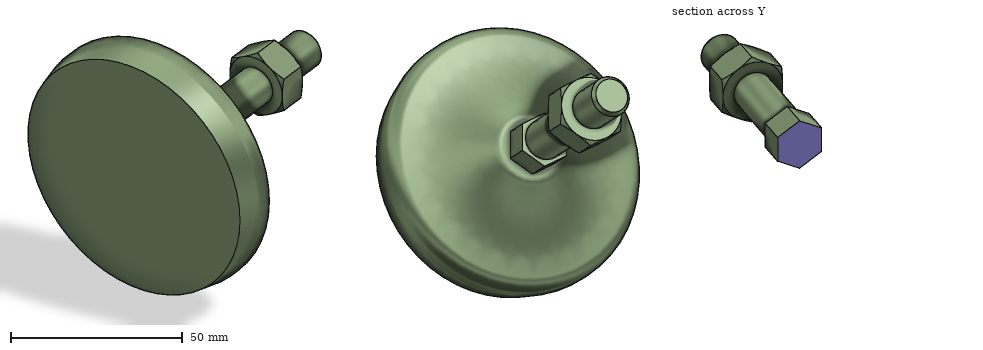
import cadquery as cq
import math


base_diameter = 80.0
base_height = 25.0
sole_taper_height = 7.5
sole_taper_angle = 12.0
rim_top = 11.0
corner_radius = 4.0
shoulder_flat_radius = 9.0
flare_radius = 54.0

total_height = 85.0
stud_diameter = 12.0
stud_chamfer = 1.0
neck_diameter = 10.0
neck_length = 1.0

stud_hex_flats = 14.0
stud_hex_height = 9.0
nut_flats = 19.0
nut_height = 10.0
nut_bottom = 60.0
nut_chamfer_angle = 30.0
hex_half_angle = 30.0

stud_hex_bottom = base_height + neck_length
stud_hex_top = stud_hex_bottom + stud_hex_height


def point_on_circle(center, radius, angle):
    """Point at an angle measured from +Y towards +X (radians)."""
    return (center[0] + radius * math.sin(angle), center[1] + radius * math.cos(angle))


def cylinder(diameter, bottom, height):
    """Cylinder on the Y axis, starting at Y = bottom."""
    return cq.Workplane("XZ", origin=(0, bottom, 0)).circle(diameter / 2).extrude(-height)


def hex_corner_radius(flats):
    return flats / 2 / math.cos(math.radians(hex_half_angle))


def hexagon(flats, bottom, height):
    """Hexagonal prism on the Y axis with flats facing +X and -X."""
    plane = cq.Workplane("XZ", origin=(0, bottom, 0)).transformed(rotate=(0, 0, hex_half_angle))
    return plane.polygon(6, 2 * hex_corner_radius(flats)).extrude(-height)


def revolve_about_y(profile):
    return profile.close().revolve(360, (0, 0, 0), (0, 1, 0))


def make_base():
    """Revolved base; the concave flank is tangent to both rounded corners."""
    rim_radius = base_diameter / 2
    sole_radius = rim_radius - sole_taper_height * math.tan(math.radians(sole_taper_angle))
    rim_center = (rim_radius - corner_radius, rim_top)
    shoulder_center = (shoulder_flat_radius, base_height - corner_radius)

    run = rim_center[0] - shoulder_center[0]
    rise = shoulder_center[1] - rim_center[1]
    chord_slope = math.atan2(rise, run)
    half_sweep = math.asin(math.hypot(run, rise) / 2 / (flare_radius + corner_radius))
    rim_slope = chord_slope - half_sweep
    shoulder_slope = chord_slope + half_sweep
    flare_center = point_on_circle(rim_center, flare_radius + corner_radius, rim_slope)

    rim_start = (rim_radius, rim_top)
    rim_middle = point_on_circle(rim_center, corner_radius, (math.pi / 2 + rim_slope) / 2)
    rim_end = point_on_circle(rim_center, corner_radius, rim_slope)
    flare_middle = point_on_circle(flare_center, flare_radius, chord_slope + math.pi)
    shoulder_start = point_on_circle(shoulder_center, corner_radius, shoulder_slope)
    shoulder_middle = point_on_circle(shoulder_center, corner_radius, shoulder_slope / 2)
    shoulder_end = (shoulder_flat_radius, base_height)

    profile = (
        cq.Workplane("XY")
        .lineTo(sole_radius, 0)
        .lineTo(rim_radius, sole_taper_height)
        .lineTo(*rim_start)
        .threePointArc(rim_middle, rim_end)
        .threePointArc(flare_middle, shoulder_start)
        .threePointArc(shoulder_middle, shoulder_end)
        .lineTo(0, base_height)
    )
    return revolve_about_y(profile)


def make_stud():
    """Neck, spanner hexagon and shank with a chamfered end."""
    neck = cylinder(neck_diameter, base_height, neck_length)
    spanner_hex = hexagon(stud_hex_flats, stud_hex_bottom, stud_hex_height)
    shank = cylinder(stud_diameter, stud_hex_top, total_height - stud_hex_top)
    shank = shank.faces(">Y").chamfer(stud_chamfer)
    return neck.union(spanner_hex).union(shank)


def make_nut():
    """Lock nut, its corners chamfered conically at both ends."""
    nut_top = nut_bottom + nut_height
    face_radius = nut_flats / 2
    nut_corner_radius = hex_corner_radius(nut_flats)
    chamfer_drop = (nut_corner_radius - face_radius) * math.tan(math.radians(nut_chamfer_angle))
    envelope = revolve_about_y(
        cq.Workplane("XY")
        .moveTo(0, nut_bottom)
        .lineTo(face_radius, nut_bottom)
        .lineTo(nut_corner_radius, nut_bottom + chamfer_drop)
        .lineTo(nut_corner_radius, nut_top - chamfer_drop)
        .lineTo(face_radius, nut_top)
        .lineTo(0, nut_top)
    )
    return hexagon(nut_flats, nut_bottom, nut_height).intersect(envelope)


result = make_base().union(make_stud()).union(make_nut())